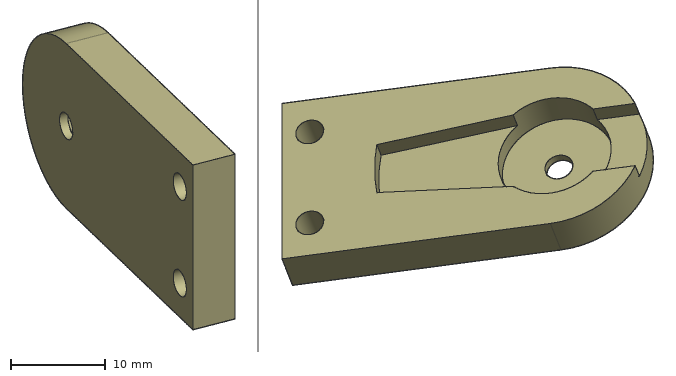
import cadquery as cq
import math

width = 20.0
thickness = 5.0
end_radius = width / 2
straight_length = 29.0

hole_diameter = 3.0
mount_hole_x = 26.0
mount_hole_spacing = 11.7

hub_radius = 6.1
hub_depth = 4.0
arm_depth = 2.0
arm_tip_radius = 19.0
arm_tip_width = 6.16
arm_root_width = 10.0
notch_width = 8.0


def profile_plane(y):
    """Workplane at height y along the thickness; its local axes are X and Z."""
    return cq.Workplane("XZ", origin=(0, y, 0))


def make_plate():
    outline = (
        profile_plane(0)
        .moveTo(0, end_radius)
        .threePointArc((-end_radius, 0), (0, -end_radius))
        .lineTo(straight_length, -end_radius)
        .lineTo(straight_length, end_radius)
        .close()
    )
    return outline.extrude(-thickness)


def make_holes():
    centres = [(0, 0)]
    for side in (-1, 1):
        centres.append((mount_hole_x, side * mount_hole_spacing / 2))
    return profile_plane(0).pushPoints(centres).circle(hole_diameter / 2).extrude(-thickness)


def make_hub_recess():
    return profile_plane(thickness - hub_depth).circle(hub_radius).extrude(-hub_depth)


def make_arm_recess():
    """Arm that starts on the pivot axis and ends in an arc centred on it."""
    tip_half = arm_tip_width / 2
    tip_x = math.sqrt(arm_tip_radius**2 - tip_half**2)
    root_half = arm_root_width / 2
    outline = (
        profile_plane(thickness - arm_depth)
        .moveTo(0, -root_half)
        .lineTo(tip_x, -tip_half)
        .threePointArc((arm_tip_radius, 0), (tip_x, tip_half))
        .lineTo(0, root_half)
        .close()
    )
    return outline.extrude(-arm_depth)


def make_notch():
    """Straight channel from the hub out through the rounded end."""
    return (
        profile_plane(thickness - arm_depth)
        .center(-end_radius / 2, 0)
        .rect(end_radius, notch_width)
        .extrude(-arm_depth)
    )


result = (
    make_plate()
    .cut(make_holes())
    .cut(make_hub_recess())
    .cut(make_arm_recess())
    .cut(make_notch())
)